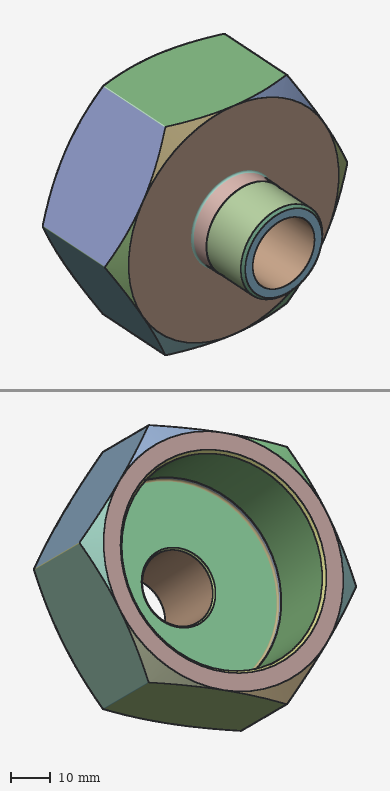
import cadquery as cq
import math

hex_sides = 6
hex_across_flats = 68.0
hex_length = 31.0
hex_edge_radius = 0.3
hex_chamfer_angle = 30.0

total_length = 51.0
collar_diameter = 26.64
collar_length = 5.5
collar_root_radius = 0.5
spigot_diameter = 26.44
spigot_chamfer = 0.8

socket_diameter = 56.86
socket_depth = 24.5
socket_mouth_diameter = 58.4
socket_relief_diameter = 56.66
socket_relief_length = 1.5
socket_floor_radius = 0.5

through_hole_diameter = 20.0
through_hole_chamfer = 0.5

hex_across_corners = hex_across_flats / math.cos(math.radians(180 / hex_sides))


def cylinder(diameter, start, length):
    """Round bar on the X axis."""
    return cq.Workplane("YZ", origin=(start, 0, 0)).circle(diameter / 2).extrude(length)


def revolve_profile(points):
    """Turn a closed (axial, radial) outline about the X axis."""
    return cq.Workplane("XY").polyline(points).close().revolve(360, (0, 0, 0), (1, 0, 0))


def hex_head():
    """Hexagon with flats at +Z and -Z, its corners turned down at both end faces."""
    hexagon = (
        cq.Workplane("YZ")
        .polygon(hex_sides, hex_across_corners)
        .extrude(hex_length)
        .edges("|X")
        .fillet(hex_edge_radius)
    )
    face_radius = hex_across_flats / 2
    corner_radius = hex_across_corners / 2
    chamfer_depth = (corner_radius - face_radius) * math.tan(math.radians(hex_chamfer_angle))
    turned_envelope = revolve_profile([
        (0, 0),
        (0, face_radius),
        (chamfer_depth, corner_radius),
        (hex_length - chamfer_depth, corner_radius),
        (hex_length, face_radius),
        (hex_length, 0),
    ])
    return hexagon.intersect(turned_envelope)


def spigot():
    """Plain collar against the head, then the slightly thinner chamfered end."""
    collar = cylinder(collar_diameter, hex_length, collar_length)
    end = cylinder(spigot_diameter, hex_length, total_length - hex_length)
    return collar.union(end.faces(">X").chamfer(spigot_chamfer))


def socket():
    """Blind bore with a 45 degree mouth and a narrower band with a rounded floor corner."""
    band = cylinder(socket_relief_diameter, 0, socket_depth)
    band = band.faces(">X").edges().fillet(socket_floor_radius)
    bore = cylinder(socket_diameter, 0, socket_depth - socket_relief_length)
    mouth_radius = socket_mouth_diameter / 2
    bore_radius = socket_diameter / 2
    mouth = revolve_profile([
        (0, 0),
        (0, mouth_radius),
        (mouth_radius - bore_radius, bore_radius),
        (mouth_radius - bore_radius, 0),
    ])
    return band.union(bore).union(mouth)


def through_hole():
    """Hole along the whole axis, chamfered where it leaves the socket floor."""
    hole = cylinder(through_hole_diameter, 0, total_length)
    hole_radius = through_hole_diameter / 2
    entry = revolve_profile([
        (socket_depth, 0),
        (socket_depth, hole_radius + through_hole_chamfer),
        (socket_depth + through_hole_chamfer, hole_radius),
        (socket_depth + through_hole_chamfer, 0),
    ])
    return hole.union(entry)


def rounded_body():
    """Head and spigot joined, with the corner at the root of the collar rounded."""
    body = hex_head().union(spigot())
    reach = collar_root_radius
    around_root_centre = cq.selectors.BoxSelector(
        (hex_length - reach, -reach, -reach),
        (hex_length + reach, reach, reach),
    )
    return body.edges(around_root_centre).fillet(collar_root_radius)


result = rounded_body().cut(socket()).cut(through_hole())